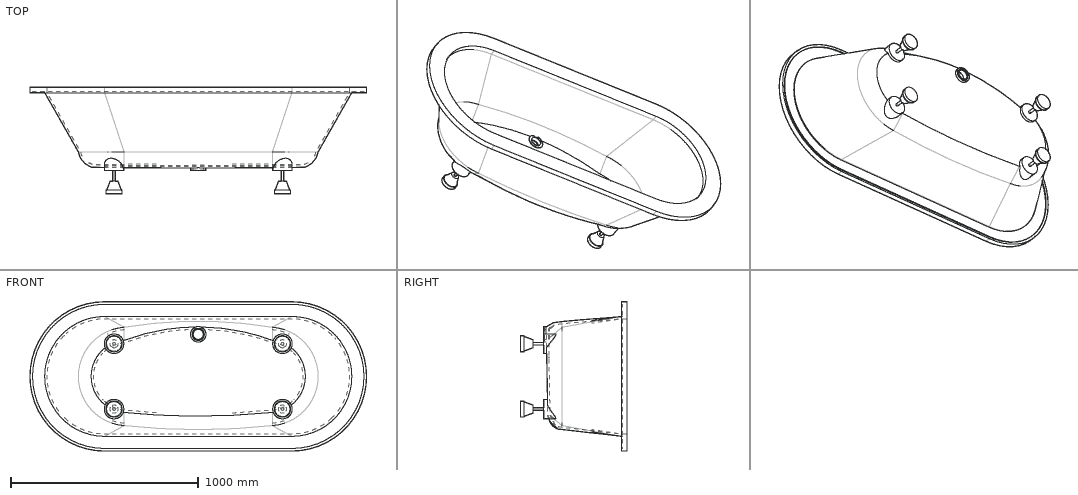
import cadquery as cq
import math

RIM_LENGTH = 1800.0
RIM_WIDTH = 800.0
RIM_DEPTH = 30.0
LIP_STEP = 5.0
LIP_INSET = 15.0
RIM_FLANGE = 80.0
SHEET = 13.0

MOUTH_END_CENTRE = (RIM_LENGTH - RIM_WIDTH) / 2
MOUTH_RADIUS = RIM_WIDTH / 2 - RIM_FLANGE
MOUTH = dict(end=MOUTH_END_CENTRE + MOUTH_RADIUS, corner_x=MOUTH_END_CENTRE,
             corner_z=MOUTH_RADIUS, upper=MOUTH_RADIUS, lower=MOUTH_RADIUS)
WAIST = dict(end=640.0, corner_x=396.0, corner_z=263.0, upper=295.0, lower=285.0)
SHOULDER = dict(end=615.0, corner_x=396.0, corner_z=220.0, upper=286.0, lower=263.0)
FLOOR = dict(end=572.0, corner_x=396.0, corner_z=193.0, upper=265.0, lower=212.0)
WAIST_DEPTH = 347.0
SHOULDER_DEPTH = 400.0
FLOOR_DEPTH = 428.0
FLOOR_FALL = 1.0

FOOT_X = 450.0
FOOT_Z = 175.0
BOSS_RADIUS = 52.0
BOSS_DEPTH = 446.0
BOSS_START = 360.0
ROD_RADIUS = 7.0
PAD_TOP_DEPTH = 502.0
PAD_TOP_RADIUS = 22.0
PAD_EDGE_DEPTH = 550.0
PAD_CONE_RADIUS = 40.0
PAD_RADIUS = 43.0
TOTAL_DEPTH = 570.0

DRAIN_Z = 225.0
DRAIN_RADIUS = 41.0
DRAIN_BORE_RADIUS = 27.0
DRAIN_LIP_RADIUS = 32.0
DRAIN_LIP_RECESS = 4.0
DRAIN_START = FLOOR_DEPTH - SHEET


def cylinder(radius, start, end, x=0, z=0):
    """Cylinder along -Y between two depths below the rim."""
    return cq.Workplane(cq.Solid.makeCylinder(
        radius, end - start, cq.Vector(x, -start, z), cq.Vector(0, -1, 0)))


def stadium(inset, start, end):
    return (cq.Workplane("XZ").workplane(offset=start)
            .slot2D(RIM_LENGTH - 2 * inset, RIM_WIDTH - 2 * inset).extrude(end - start))


def outline(shape, depth, inset=0, fall=0):
    """Closed outline with rounded ends and bowed sides, shrunk by inset."""
    slope = math.tan(math.radians(fall))

    def point(x, z):
        return cq.Vector(x, -depth - slope * z, z)

    end = shape["end"] - inset
    x = shape["corner_x"]
    z = shape["corner_z"] - inset
    upper = shape["upper"] - inset
    lower = shape["lower"] - inset

    def side(start, bow, finish):
        if bow == abs(start[1]):
            return cq.Edge.makeLine(point(*start), point(*finish))
        middle = point(0, math.copysign(bow, start[1]))
        return cq.Edge.makeThreePointArc(point(*start), middle, point(*finish))

    def rounded_end(start, tip, finish):
        return cq.Edge.makeThreePointArc(point(*start), point(tip, 0), point(*finish))

    return cq.Wire.assembleEdges([
        side((-x, z), upper, (x, z)),
        rounded_end((x, z), end, (x, -z)),
        side((x, -z), lower, (-x, -z)),
        rounded_end((-x, -z), -end, (-x, z)),
    ])


def bowl(inset, floor_depth):
    """Straight throat through the rim, sloping wall down to the waist, then rounded to the floor."""
    waist = outline(WAIST, WAIST_DEPTH, inset)
    throat = stadium(RIM_FLANGE + inset, 0, RIM_DEPTH)
    wall = cq.Solid.makeLoft([outline(MOUTH, RIM_DEPTH, inset), waist], True)
    band = cq.Solid.makeLoft([
        waist,
        outline(SHOULDER, SHOULDER_DEPTH - inset / 2, inset),
        outline(FLOOR, floor_depth, inset, FLOOR_FALL),
    ])
    return throat.union(cq.Workplane(wall)).union(cq.Workplane(band))


def rim():
    upper = stadium(0, 0, RIM_DEPTH)
    return upper.cut(stadium(LIP_INSET, RIM_DEPTH - LIP_STEP, RIM_DEPTH))


def foot(x, z):
    boss = cylinder(BOSS_RADIUS, BOSS_START, BOSS_DEPTH, x, z)
    rod = cylinder(ROD_RADIUS, BOSS_DEPTH, PAD_TOP_DEPTH, x, z)
    cone = cq.Workplane(cq.Solid.makeCone(
        PAD_TOP_RADIUS, PAD_CONE_RADIUS, PAD_EDGE_DEPTH - PAD_TOP_DEPTH,
        cq.Vector(x, -PAD_TOP_DEPTH, z), cq.Vector(0, -1, 0)))
    pad = cylinder(PAD_RADIUS, PAD_EDGE_DEPTH, TOTAL_DEPTH, x, z)
    return boss.union(rod).union(cone).union(pad)


def tub():
    body = rim().union(bowl(0, FLOOR_DEPTH))
    for x in (-FOOT_X, FOOT_X):
        for z in (-FOOT_Z, FOOT_Z):
            body = body.union(foot(x, z))
    body = body.cut(bowl(SHEET, FLOOR_DEPTH - SHEET))
    return body.cut(cylinder(DRAIN_RADIUS, DRAIN_START, BOSS_DEPTH, z=DRAIN_Z))


def drain_ring():
    ring = cylinder(DRAIN_RADIUS, DRAIN_START, BOSS_DEPTH, z=DRAIN_Z)
    ring = ring.cut(cylinder(DRAIN_BORE_RADIUS, DRAIN_START, BOSS_DEPTH, z=DRAIN_Z))
    return ring.cut(cylinder(DRAIN_LIP_RADIUS, BOSS_DEPTH - DRAIN_LIP_RECESS, BOSS_DEPTH, z=DRAIN_Z))


result = cq.Compound.makeCompound([*tub().solids().vals(), *drain_ring().solids().vals()])